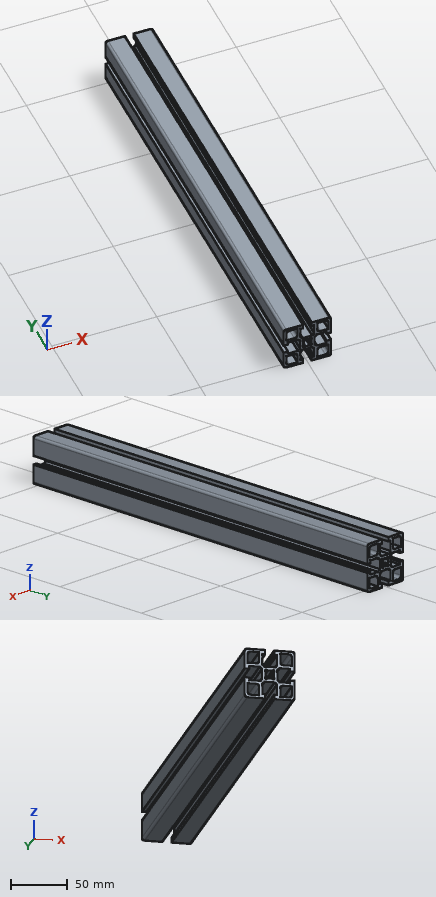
import cadquery as cq

length = 410.0
side = 45.0
half_side = side / 2
corner_radius = 2.5

slot_mouth_width = 8.0
slot_width = 13.0
core_width = 14.0
floor_chamfer = 2.0
lip_thickness = 4.0

outer_wall = 2.55
slot_wall = 2.95
chamber_radius = 3.0

bore_radius = 3.77
relief_length = 10.5
relief_width = 1.5


def along_length(profile):
    """Extrude an XZ profile over the full length, centred on the origin."""
    return profile.extrude(length / 2, both=True)


def slot_cutter():
    """T-slot in the top face, with chamfered floor corners."""
    mouth = slot_mouth_width / 2
    wall = slot_width / 2
    floor = core_width / 2
    lip_underside = half_side - lip_thickness
    right_half = [
        (mouth, half_side),
        (mouth, lip_underside),
        (wall, lip_underside),
        (wall, floor + floor_chamfer),
        (wall - floor_chamfer, floor),
    ]
    left_half = [(-x, z) for x, z in reversed(right_half)]
    return along_length(cq.Workplane("XZ").polyline(right_half + left_half).close())


def chamber_cutter():
    """Square chamber in the +X +Z corner, rounded at the two corners on the part's diagonal."""
    inner = slot_width / 2 + slot_wall
    outer = half_side - outer_wall
    centre = (inner + outer) / 2
    width = outer - inner
    block = along_length(cq.Workplane("XZ").center(centre, centre).rect(width, width))
    nearest_and_farthest = "|Y and (<(1, 0, 1) or >(1, 0, 1))"
    return block.edges(nearest_and_farthest).fillet(chamber_radius)


def core_cutter():
    """Round bore crossed by two flat-ended diagonal slots."""
    cutter = along_length(cq.Workplane("XZ").circle(bore_radius))
    relief = along_length(cq.Workplane("XZ").rect(relief_length, relief_width))
    for angle in (45, -45):
        cutter = cutter.union(relief.rotate((0, 0, 0), (0, 1, 0), angle))
    return cutter


bar = along_length(cq.Workplane("XZ").rect(side, side)).edges("|Y").fillet(corner_radius)
for cutter in (slot_cutter(), chamber_cutter()):
    for turn in range(4):
        bar = bar.cut(cutter.rotate((0, 0, 0), (0, 1, 0), 90 * turn))

result = bar.cut(core_cutter())